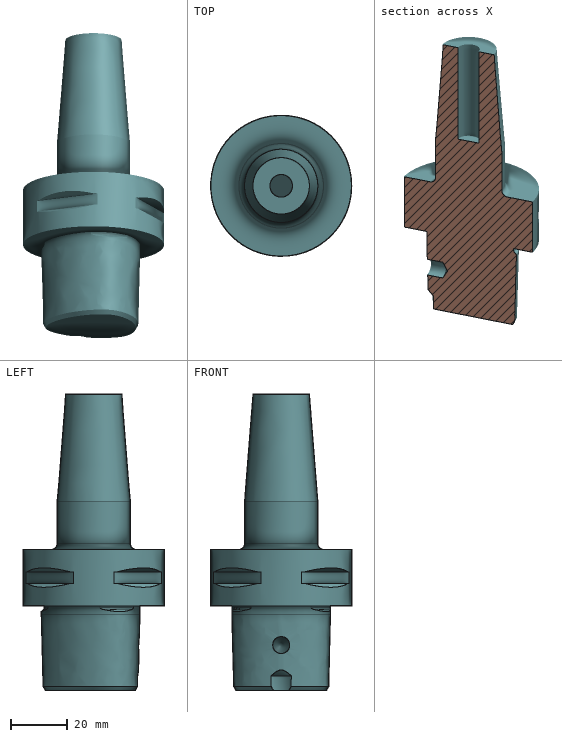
import cadquery as cq
import math

SHANK_LENGTH = 30.0
FLANGE_HEIGHT = 20.0
NECK_HEIGHT = 17.0
NOSE_HEIGHT = 38.0

FLANGE_BOTTOM = SHANK_LENGTH
FLANGE_TOP = FLANGE_BOTTOM + FLANGE_HEIGHT
NECK_TOP = FLANGE_TOP + NECK_HEIGHT
NOSE_TOP = NECK_TOP + NOSE_HEIGHT

FLANGE_RADIUS = 25.0
NOSE_TIP_RADIUS = 10.0
NOSE_HALF_ANGLE = 4.5
NECK_RADIUS = NOSE_TIP_RADIUS + NOSE_HEIGHT * math.tan(math.radians(NOSE_HALF_ANGLE))
NECK_FILLET = 2.0

BORE_DIAMETER = 8.0
BORE_DEPTH = 36.0

LOBE_MEAN_RADIUS = 17.5
LOBE_ECCENTRICITY = 1.12
LOBE_COUNT = 3
LOBE_CURVE_POINTS = 120
COLLAR_HEIGHT = 3.0
TAPER_START = SHANK_LENGTH - COLLAR_HEIGHT
TAPER_SLOPE = 1.0 / 40.0
TIP_CHAMFER_HEIGHT = 1.5
TIP_CHAMFER_ANGLE = 30.0
TIP_CHAMFER_WIDTH = TIP_CHAMFER_HEIGHT * math.tan(math.radians(TIP_CHAMFER_ANGLE))

RELIEF_RADIUS = 17.6
RELIEF_STRAIGHT_HEIGHT = 0.65
RELIEF_ROUND_RADIUS = 1.0
RELIEF_SHOULDER_ANGLE = 45.0
RELIEF_OUTER_RADIUS = 20.0

FLAT_COUNT = 4
FLAT_FIRST_ANGLE = 45.0
FLAT_DISTANCE = 22.0
FLAT_HEIGHT = 4.0
FLAT_CENTRE_Z = FLANGE_BOTTOM + FLANGE_HEIGHT / 2
FLAT_WALL_DEPTH = 0.5
FLAT_BEVEL_ANGLE = 30.0

SIDE_HOLE_RADIUS = 3.0
SIDE_HOLE_Z = 16.1
SIDE_HOLE_WALL_DEPTH = 6.0
SIDE_HOLE_TIP_ANGLE = 118.0

KEY_RADIUS = 4.5
KEY_AXIS_Y = -18.3
KEY_WALL_HEIGHT = 5.2
KEY_ROOF_HEIGHT = KEY_RADIUS

CUT_MARGIN = 1.0


def lobe_wire(mean_radius, z):
    """Constant-width three-lobed outline with one lobe pointing along +Y."""

    def point(t):
        angle = math.pi + 2 * math.pi * t
        reach = mean_radius + LOBE_ECCENTRICITY * math.cos(LOBE_COUNT * angle)
        rate = -LOBE_COUNT * LOBE_ECCENTRICITY * math.sin(LOBE_COUNT * angle)
        x = -(reach * math.sin(angle) + rate * math.cos(angle))
        y = reach * math.cos(angle) - rate * math.sin(angle)
        return (x, y, z)

    return cq.Workplane("XY").parametricCurve(point, N=LOBE_CURVE_POINTS).val()


def make_shank():
    """Chamfered tip, tapered length and straight collar, stacked from the bottom up."""
    taper_end_radius = LOBE_MEAN_RADIUS - (TAPER_START - TIP_CHAMFER_HEIGHT) * TAPER_SLOPE
    sections = [
        lobe_wire(taper_end_radius - TIP_CHAMFER_WIDTH, 0),
        lobe_wire(taper_end_radius, TIP_CHAMFER_HEIGHT),
        lobe_wire(LOBE_MEAN_RADIUS, TAPER_START),
        lobe_wire(LOBE_MEAN_RADIUS, FLANGE_BOTTOM),
    ]
    shank = cq.Workplane("XY")
    for lower, upper in zip(sections, sections[1:]):
        shank = shank.add(cq.Solid.makeLoft([lower, upper], True))
    return shank.combine()


def make_relief():
    """Ring that trims the lobes: straight wall, rounded corner and sloping shoulder."""
    straight_bottom = FLANGE_BOTTOM - RELIEF_STRAIGHT_HEIGHT
    full_turn = math.radians(RELIEF_SHOULDER_ANGLE)

    def round_point(turn):
        radius = RELIEF_RADIUS + RELIEF_ROUND_RADIUS * (1 - math.cos(turn))
        return (radius, straight_bottom - RELIEF_ROUND_RADIUS * math.sin(turn))

    shoulder_radius, shoulder_top = round_point(full_turn)
    shoulder_bottom = shoulder_top - (RELIEF_OUTER_RADIUS - shoulder_radius) / math.tan(full_turn)
    return (
        cq.Workplane("XZ")
        .moveTo(RELIEF_RADIUS, FLANGE_BOTTOM)
        .lineTo(RELIEF_RADIUS, straight_bottom)
        .threePointArc(round_point(full_turn / 2), (shoulder_radius, shoulder_top))
        .lineTo(RELIEF_OUTER_RADIUS, shoulder_bottom)
        .lineTo(RELIEF_OUTER_RADIUS, FLANGE_BOTTOM)
        .close()
        .revolve(360, (0, 0, 0), (0, 1, 0))
    )


def make_body():
    """Flange, filleted neck and conical nose turned about Z."""
    fillet_radius_out = NECK_RADIUS + NECK_FILLET
    fillet_top = FLANGE_TOP + NECK_FILLET
    inset = NECK_FILLET * (1 - math.sqrt(0.5))
    return (
        cq.Workplane("XZ")
        .moveTo(0, FLANGE_BOTTOM)
        .lineTo(FLANGE_RADIUS, FLANGE_BOTTOM)
        .lineTo(FLANGE_RADIUS, FLANGE_TOP)
        .lineTo(fillet_radius_out, FLANGE_TOP)
        .threePointArc((NECK_RADIUS + inset, FLANGE_TOP + inset), (NECK_RADIUS, fillet_top))
        .lineTo(NECK_RADIUS, NECK_TOP)
        .lineTo(NOSE_TIP_RADIUS, NOSE_TOP)
        .lineTo(0, NOSE_TOP)
        .close()
        .revolve(360, (0, 0, 0), (0, 1, 0))
    )


def make_bore():
    """Flat-bottomed tool bore sunk from the nose."""
    floor = cq.Workplane("XY", origin=(0, 0, NOSE_TOP - BORE_DEPTH))
    return floor.circle(BORE_DIAMETER / 2).extrude(BORE_DEPTH)


def make_flat_cutter(angle):
    """Groove with short square walls above the flat and bevelled lips outside them."""
    bevel_start = FLAT_DISTANCE + FLAT_WALL_DEPTH
    bevel_end = FLANGE_RADIUS + CUT_MARGIN
    inner_half = FLAT_HEIGHT / 2
    outer_half = inner_half + (bevel_end - bevel_start) * math.tan(math.radians(FLAT_BEVEL_ANGLE))
    return (
        cq.Workplane("XZ", origin=(0, 0, FLAT_CENTRE_Z))
        .moveTo(FLAT_DISTANCE, -inner_half)
        .lineTo(bevel_start, -inner_half)
        .lineTo(bevel_end, -outer_half)
        .lineTo(bevel_end, outer_half)
        .lineTo(bevel_start, inner_half)
        .lineTo(FLAT_DISTANCE, inner_half)
        .close()
        .extrude(FLANGE_RADIUS, both=True)
        .rotate((0, 0, 0), (0, 0, 1), angle)
    )


def make_side_hole():
    """Drill shape along +Y, entering at the middle of the flattest side."""
    face_y = -(LOBE_MEAN_RADIUS - LOBE_ECCENTRICITY - (TAPER_START - SIDE_HOLE_Z) * TAPER_SLOPE)
    tip_y = face_y + SIDE_HOLE_WALL_DEPTH + SIDE_HOLE_RADIUS / math.tan(math.radians(SIDE_HOLE_TIP_ANGLE / 2))
    return (
        cq.Workplane("YZ")
        .moveTo(face_y - CUT_MARGIN, 0)
        .lineTo(face_y - CUT_MARGIN, -SIDE_HOLE_RADIUS)
        .lineTo(face_y + SIDE_HOLE_WALL_DEPTH, -SIDE_HOLE_RADIUS)
        .lineTo(tip_y, 0)
        .close()
        .revolve(360, (0, 0, 0), (1, 0, 0))
        .translate((0, 0, SIDE_HOLE_Z))
    )


def make_key_slot():
    """Round key slot, open at the bottom and on the -Y side."""
    return (
        cq.Workplane("XZ")
        .moveTo(0, 0)
        .lineTo(KEY_RADIUS, 0)
        .lineTo(KEY_RADIUS, KEY_WALL_HEIGHT)
        .lineTo(0, KEY_WALL_HEIGHT + KEY_ROOF_HEIGHT)
        .close()
        .revolve(360, (0, 0, 0), (0, 1, 0))
        .translate((0, KEY_AXIS_Y, 0))
    )


result = make_shank().cut(make_relief()).cut(make_side_hole()).cut(make_key_slot())
result = result.union(make_body()).cut(make_bore())
for index in range(FLAT_COUNT):
    result = result.cut(make_flat_cutter(FLAT_FIRST_ANGLE + index * 360 / FLAT_COUNT))